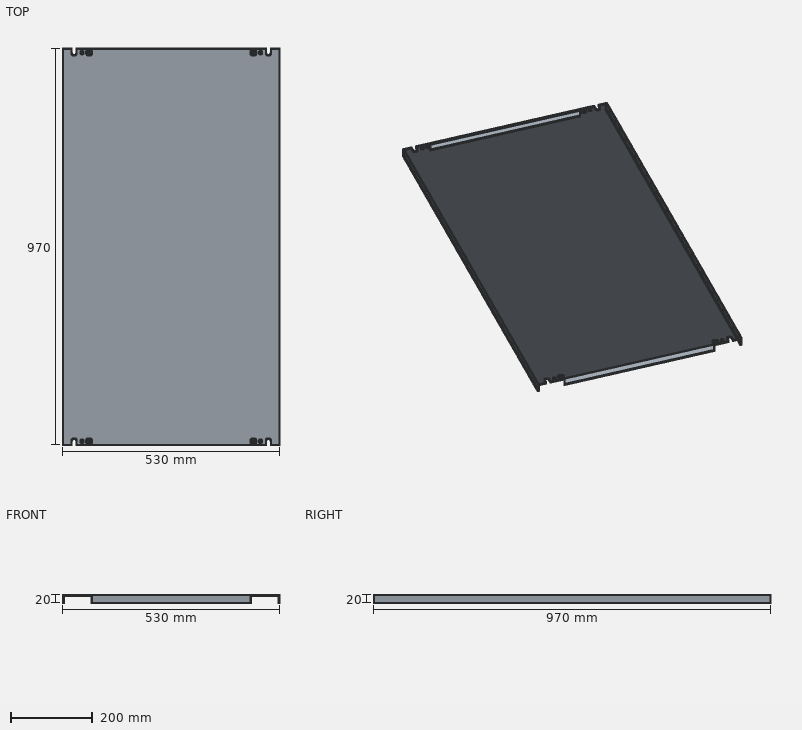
import cadquery as cq

width = 530.0
length = 970.0
height = 20.0
sheet = 2.5

end_lip_inset = 70.0
end_lip_width = width - 2 * end_lip_inset

slot_inset = 27.0
slot_width = 12.0
slot_depth = 16.5
hole_end_distance = 10.0
small_hole_inset = 47.0
small_hole_diameter = 7.0
recess_inset = 64.0
recess_diameter = 15.0
recess_depth = 1.0
center_dimple_diameter = 7.0
center_dimple_depth = 1.5


def mirrored_corners(inset, end_distance):
    """Return the matching point at each of the four corners."""
    x = width / 2 - inset
    y = length / 2 - end_distance
    return [(x, y), (-x, y), (-x, -y), (x, -y)]


def upright_box(x_size, y_size, z_size):
    """A box centred on the Z axis and standing on the XY plane."""
    return cq.Workplane("XY").box(x_size, y_size, z_size, centered=(True, True, False))


def make_folded_panel():
    """Flat top sheet with lips folded down along all four edges."""
    panel = upright_box(width, length, sheet).translate((0, 0, height - sheet))
    side_lip = upright_box(sheet, length, height)
    end_lip = upright_box(end_lip_width, sheet, height)
    for side in (-1, 1):
        panel = panel.union(side_lip.translate((side * (width - sheet) / 2, 0, 0)))
        panel = panel.union(end_lip.translate((0, side * (length - sheet) / 2, 0)))
    return panel


def edge_slots():
    """Cutters for the round-bottomed slots open to the two ends."""
    return (
        cq.Workplane("XY")
        .pushPoints(mirrored_corners(slot_inset, 0))
        .slot2D(2 * slot_depth, slot_width, 90)
        .extrude(height)
    )


def round_pockets(inset, diameter, depth):
    """Cutters for four round pockets sunk from the top face."""
    return (
        cq.Workplane("XY", origin=(0, 0, height))
        .pushPoints(mirrored_corners(inset, hole_end_distance))
        .circle(diameter / 2)
        .extrude(-depth)
    )


result = (
    make_folded_panel()
    .cut(edge_slots())
    .cut(round_pockets(small_hole_inset, small_hole_diameter, sheet))
    .cut(round_pockets(recess_inset, recess_diameter, recess_depth))
    .cut(round_pockets(recess_inset, center_dimple_diameter, center_dimple_depth))
)